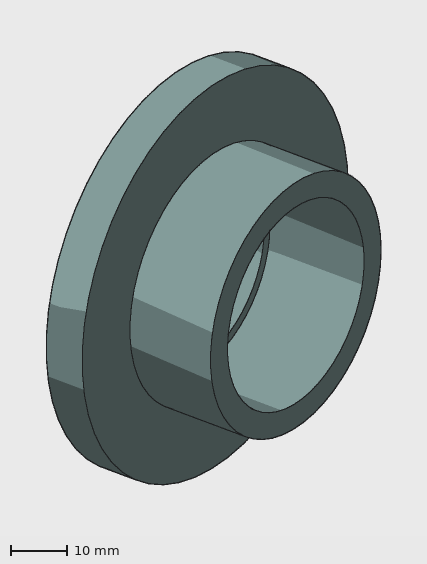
import cadquery as cq

flange_diameter = 78.0
flange_thickness = 8.0
hub_diameter = 50.0
total_length = 26.0

lip_diameter = 36.65
lip_length = 5.0
bore_diameter = 40.0


def cylinder_along_x(diameter, start, end):
    return cq.Workplane("YZ", origin=(start, 0, 0)).circle(diameter / 2).extrude(end - start)


flange = cylinder_along_x(flange_diameter, 0, flange_thickness)
hub = cylinder_along_x(hub_diameter, 0, total_length)
lip_hole = cylinder_along_x(lip_diameter, 0, total_length)
hub_bore = cylinder_along_x(bore_diameter, lip_length, total_length)

result = flange.union(hub).cut(lip_hole).cut(hub_bore)